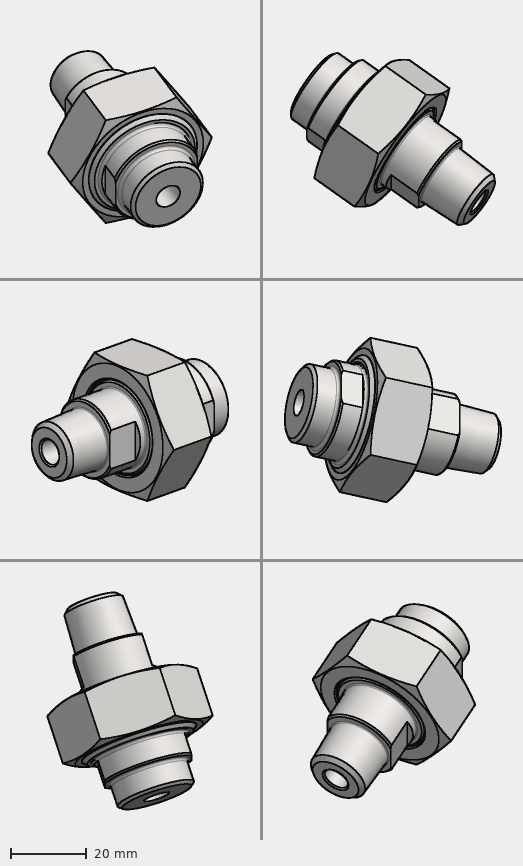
import cadquery as cq
import math

total_length = 55.0
bore_diameter = 7.0
bore_chamfer = 0.45

nut_start = 24.4
nut_end = 40.0
nut_across_flats = 36.0
nut_face_diameter = 35.5
nut_chamfer_angle = 20.0
nut_lip_end = 28.6
nut_lip_diameter = 26.5
nut_lip_chamfer = 0.4
nut_thread_diameter = 31.85
nut_across_corners = nut_across_flats / math.cos(math.radians(30))

taper_tip_diameter = 16.35
taper_base_diameter = 17.3
taper_chamfer = 1.25
tail_body_start = 12.9
tail_root_fillet = 0.3
tail_body_diameter = 22.0
tail_body_chamfer = 0.5
tail_hub_start = 24.5
tail_hub_diameter = 26.0
tail_hub_chamfer = 0.5
tail_hub_fillet = 0.35
tail_shoulder_diameter = 30.35
tail_flat_width = 19.0
tail_flat_end = 22.0
tail_flat_run_out = 0.5

joint_face = 31.9
collar_end = 41.05
collar_chamfer = 1.15
grip_diameter = 26.0
grip_end = 47.95
grip_chamfer = 0.5
grip_flat_width = 24.0
grip_flat_start = 41.85
spigot_diameter = 21.3
spigot_chamfer_length = 0.8
spigot_chamfer_depth = 1.05
end_fillet = 0.8


def cylinder(start, end, diameter):
    return cq.Workplane("YZ", origin=(start, 0, 0)).circle(diameter / 2).extrude(end - start)


def revolve_about_x(profile):
    """Revolve a closed XY profile, with Y as the radius, about the X axis."""
    return profile.close().revolve(360, (0, 0, 0), (1, 0, 0))


def concave_corner(profile, corner_x, corner_radius, fillet, x_side):
    """Arc of a root fillet; x_side is -1 when its cylinder lies before the step, +1 after it."""
    beside = (corner_x + x_side * fillet, corner_radius)
    above = (corner_x, corner_radius + fillet)
    inset = fillet * (1 - math.sqrt(0.5))
    middle = (corner_x + x_side * inset, corner_radius + inset)
    first, last = (beside, above) if x_side < 0 else (above, beside)
    return profile.lineTo(*first).threePointArc(middle, last)


def make_nut():
    length = nut_end - nut_start
    nut = (
        cq.Workplane("YZ", origin=(nut_start, 0, 0))
        .polygon(6, nut_across_corners)
        .extrude(length)
    )
    face_radius = nut_face_diameter / 2
    corner_radius = nut_across_corners / 2
    corner_run = (corner_radius - face_radius) * math.tan(math.radians(nut_chamfer_angle))
    envelope = revolve_about_x(
        cq.Workplane("XY")
        .moveTo(nut_start, 0)
        .lineTo(nut_start, face_radius)
        .lineTo(nut_start + corner_run, corner_radius)
        .lineTo(nut_end - corner_run, corner_radius)
        .lineTo(nut_end, face_radius)
        .lineTo(nut_end, 0)
    )
    lip_radius = nut_lip_diameter / 2
    thread_radius = nut_thread_diameter / 2
    hole = revolve_about_x(
        cq.Workplane("XY")
        .moveTo(nut_start, 0)
        .lineTo(nut_start, lip_radius + nut_lip_chamfer)
        .lineTo(nut_start + nut_lip_chamfer, lip_radius)
        .lineTo(nut_lip_end, lip_radius)
        .lineTo(nut_lip_end, thread_radius)
        .lineTo(nut_end, thread_radius)
        .lineTo(nut_end, 0)
    )
    return nut.intersect(envelope).cut(hole)


def tail_flat_cutter():
    """Cutter for the +Y wrench flat, with a sloped end wall."""
    flat_y = tail_flat_width / 2
    outer_y = tail_body_diameter / 2
    return (
        cq.Workplane("XY", origin=(0, 0, -outer_y))
        .moveTo(tail_body_start, flat_y)
        .lineTo(tail_flat_end, flat_y)
        .lineTo(tail_flat_end + tail_flat_run_out, outer_y)
        .lineTo(tail_body_start, outer_y)
        .close()
        .extrude(tail_body_diameter)
    )


def make_tailpiece():
    tip_radius = taper_tip_diameter / 2
    base_radius = taper_base_diameter / 2
    body_radius = tail_body_diameter / 2
    hub_radius = tail_hub_diameter / 2
    shoulder_radius = tail_shoulder_diameter / 2
    profile = (
        cq.Workplane("XY")
        .moveTo(0, 0)
        .lineTo(0, tip_radius - taper_chamfer)
        .lineTo(taper_chamfer, tip_radius)
    )
    profile = concave_corner(profile, tail_body_start, base_radius, tail_root_fillet, -1)
    profile = (
        profile.lineTo(tail_body_start, body_radius - tail_body_chamfer)
        .lineTo(tail_body_start + tail_body_chamfer, body_radius)
    )
    profile = concave_corner(profile, tail_hub_start, body_radius, tail_hub_fillet, -1)
    profile = (
        profile.lineTo(tail_hub_start, hub_radius - tail_hub_chamfer)
        .lineTo(tail_hub_start + tail_hub_chamfer, hub_radius)
        .lineTo(nut_lip_end, hub_radius)
        .lineTo(nut_lip_end, shoulder_radius)
        .lineTo(joint_face, shoulder_radius)
        .lineTo(joint_face, 0)
    )
    flat = tail_flat_cutter()
    bore_radius = bore_diameter / 2
    bore = revolve_about_x(
        cq.Workplane("XY")
        .moveTo(0, 0)
        .lineTo(0, bore_radius + bore_chamfer)
        .lineTo(bore_chamfer, bore_radius)
        .lineTo(joint_face, bore_radius)
        .lineTo(joint_face, 0)
    )
    return revolve_about_x(profile).cut(flat).cut(flat.mirror("XZ")).cut(bore)


def grip_flat_cutter():
    """Cutter for the +Y wrench flat of the end piece."""
    flat_y = grip_flat_width / 2
    outer_y = nut_thread_diameter / 2
    return (
        cq.Workplane("XY", origin=(grip_flat_start, flat_y, 0))
        .box(grip_end - grip_flat_start, outer_y - flat_y, nut_thread_diameter, centered=(False, False, True))
    )


def make_end_piece():
    collar_radius = nut_thread_diameter / 2
    grip_radius = grip_diameter / 2
    spigot_radius = spigot_diameter / 2
    profile = (
        cq.Workplane("XY")
        .moveTo(joint_face, 0)
        .lineTo(joint_face, collar_radius)
        .lineTo(collar_end - collar_chamfer, collar_radius)
        .lineTo(collar_end, collar_radius - collar_chamfer)
    )
    profile = concave_corner(profile, collar_end, grip_radius, end_fillet, 1)
    profile = (
        profile.lineTo(grip_end - grip_chamfer, grip_radius)
        .lineTo(grip_end, grip_radius - grip_chamfer)
    )
    profile = concave_corner(profile, grip_end, spigot_radius, end_fillet, 1)
    profile = (
        profile.lineTo(total_length - spigot_chamfer_length, spigot_radius)
        .lineTo(total_length, spigot_radius - spigot_chamfer_depth)
        .lineTo(total_length, 0)
    )
    flat = grip_flat_cutter()
    bore = cylinder(joint_face, total_length, bore_diameter)
    return revolve_about_x(profile).cut(flat).cut(flat.mirror("XZ")).cut(bore)


nut = make_nut()
tailpiece = make_tailpiece()
end_piece = make_end_piece()

result = cq.Compound.makeCompound([nut.val(), tailpiece.val(), end_piece.val()])